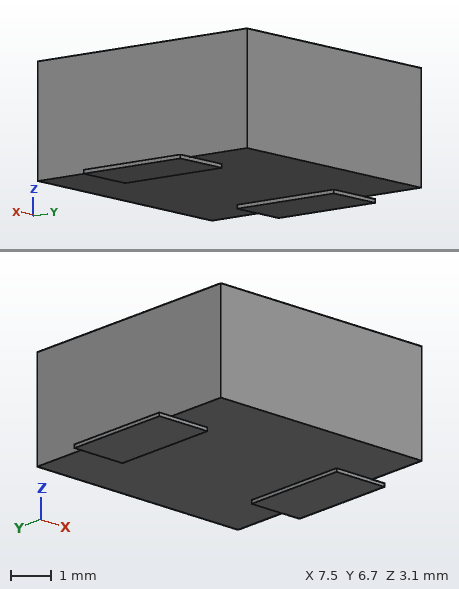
import cadquery as cq

overall_length = 7.5
body_side = 6.7
body_height = 3.0

terminal_length = 1.6
terminal_width = 3.1
terminal_thickness = 0.1
terminal_offset = (overall_length - terminal_length) / 2


def make_body():
    """Square block resting on top of the terminals."""
    return (
        cq.Workplane("XY", origin=(0, 0, terminal_thickness))
        .box(body_side, body_side, body_height, centered=(True, True, False))
    )


def make_terminal(center_x):
    """Flat plate that runs under the body and sticks out past its side."""
    return (
        cq.Workplane("XY", origin=(center_x, 0, 0))
        .box(terminal_length, terminal_width, terminal_thickness, centered=(True, True, False))
    )


body = make_body()
terminals = [make_terminal(side * terminal_offset) for side in (-1, 1)]

result = cq.Compound.makeCompound([body.val(), *[terminal.val() for terminal in terminals]])